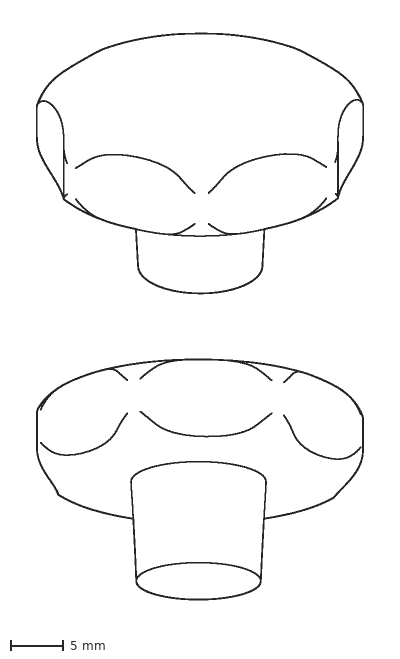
import cadquery as cq
import math

overall_width = 31.35
overall_height = 20.0
stem_height = 10.0
stem_bottom_radius = 6.0
stem_top_radius = 6.5
lobe_count = 7
round_radius = 3.0
valley_radius = 14.0
upper_round_height = 15.1

lobe_pitch = 2 * math.pi / lobe_count
lobe_center_radius = (overall_width / 2 - round_radius) / math.cos(lobe_pitch / 4)
tip_radius = lobe_center_radius + round_radius
lower_round_height = stem_height + round_radius

apex_rise = overall_height - upper_round_height
dome_radius = (lobe_center_radius**2 + apex_rise**2 - round_radius**2) / (2 * (apex_rise - round_radius))
dome_center_height = overall_height - dome_radius

lobe_along_valley = lobe_center_radius * math.cos(lobe_pitch / 2)
valley_gap = valley_radius - round_radius
valley_center_radius = (lobe_center_radius**2 - valley_gap**2) / (2 * (lobe_along_valley - valley_gap))
valley_arc_radius = valley_center_radius - valley_radius


def polar(radius, angle):
    return (radius * math.cos(angle), radius * math.sin(angle))


def between(start, end, fraction):
    return tuple(a + (b - a) * fraction for a, b in zip(start, end))


def tangent_point(lobe_angle, valley_angle):
    """Point where a lobe tip meets the valley beside it."""
    lobe = polar(lobe_center_radius, lobe_angle)
    valley = polar(valley_center_radius, valley_angle)
    return between(lobe, valley, round_radius / (round_radius + valley_arc_radius))


def lobed_prism():
    """Star outline extruded through the whole head, one lobe pointing to +Y."""
    first_lobe = math.pi / 2
    half_pitch = lobe_pitch / 2
    outline = cq.Workplane("XY").workplane(offset=stem_height)
    outline = outline.moveTo(*tangent_point(first_lobe, first_lobe - half_pitch))
    for i in range(lobe_count):
        lobe = first_lobe + i * lobe_pitch
        valley = lobe + half_pitch
        next_lobe = lobe + lobe_pitch
        outline = outline.threePointArc(polar(tip_radius, lobe), tangent_point(lobe, valley))
        outline = outline.threePointArc(polar(valley_radius, valley), tangent_point(next_lobe, valley))
    return outline.close().extrude(overall_height - stem_height)


def turned_head():
    """Round head with a flat underside, rounded rim and domed top."""
    dome_edge_angle = math.atan2(upper_round_height - dome_center_height, lobe_center_radius)
    dome_mid_angle = (dome_edge_angle + math.pi / 2) / 2

    def on_dome(angle):
        x, z = polar(dome_radius, angle)
        return (x, dome_center_height + z)

    def on_round(center_height, angle):
        x, z = polar(round_radius, angle)
        return (lobe_center_radius + x, center_height + z)

    return (
        cq.Workplane("XZ")
        .moveTo(0, stem_height)
        .lineTo(lobe_center_radius, stem_height)
        .threePointArc(on_round(lower_round_height, -math.pi / 4), (tip_radius, lower_round_height))
        .lineTo(tip_radius, upper_round_height)
        .threePointArc(on_round(upper_round_height, dome_edge_angle / 2), on_dome(dome_edge_angle))
        .threePointArc(on_dome(dome_mid_angle), (0, overall_height))
        .close()
        .revolve(360, (0, 0), (0, 1))
    )


def tapered_stem():
    profile = [(0, 0), (stem_bottom_radius, 0), (stem_top_radius, stem_height), (0, stem_height)]
    return cq.Workplane("XZ").polyline(profile).close().revolve(360, (0, 0), (0, 1))


result = turned_head().intersect(lobed_prism()).union(tapered_stem())